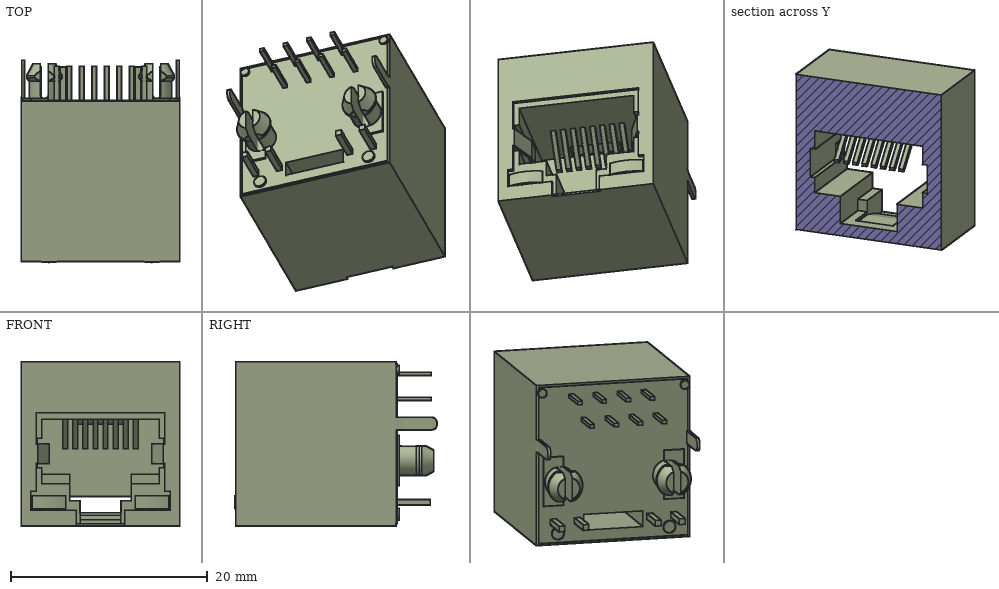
import cadquery as cq
import math


WIDTH = 16.15
SHELL_DEPTH = 16.3
HEIGHT = 16.7
SHEET = 0.22
INSERT_SETBACK = 0.34
BOTTOM_LIP_SETBACK = 0.31
INSERT_OVERHANG = 0.11

WINDOW_HALF_WIDTH = 6.52
WINDOW_TOP = 11.5
LAMP_WINDOW_HALF_WIDTH = 7.07
LAMP_WINDOW_TOP = 3.56
LAMP_WINDOW_BOTTOM = 1.61
NOTCH_HALF_WIDTH = 2.47

CAVITY_HALF_WIDTH = 5.95
CAVITY_TOP = 10.86
CAVITY_BACK = 11.0
LEDGE_TOP = 4.28
REAR_LEDGE_TOP = 5.25
REAR_LEDGE_FRONT = 8.5
CHANNEL_HALF_WIDTH = 3.11
CHEEK_TOP = 2.58
CHEEK_LENGTH = 3.75
LATCH_HALF_WIDTH = 2.07
REAR_OPENING_TOP = 3.0

CHANNEL_FLOOR = 1.36
RAMP_FRONT = 2.2
RAMP_LOW = 0.63
RAMP_HIGH = 1.08
RAMP_ANGLE = 12.8
LATCH_FLAT_LENGTH = 2.6

POCKET_HALF_WIDTH = 6.44
POCKET_BOTTOM = 5.9
POCKET_TOP = 8.91
SPRING_BOTTOM = 6.35
SPRING_TOP = 8.35
SPRING_ROOT_X = 6.38
SPRING_TAIL_X = 5.2
SPRING_LENGTH = 2.87
SPRING_TAIL_LENGTH = 1.6

CONTACT_COUNT = 8
CONTACT_PITCH = 1.02
CONTACT_WIDTH = 0.5
CONTACT_THICKNESS = 0.4
CONTACT_TIP_Z = 7.83
CONTACT_FRONT = 5.0
CONTACT_TILT = 42.0
COMB_GAPS = 5
COMB_BOTTOM = 10.36
COMB_TILT = 60.0

LAMP_X = 5.23
LAMP_WIDTH = 3.45
LAMP_BOTTOM = 1.74
LAMP_TOP = 3.07
LAMP_PROUD = 0.09
LAMP_EDGE_SETBACK = 0.2

PIN_COUNT = 8
PIN_PITCH = 1.27
PIN_WIDTH = 0.46
PIN_THICKNESS = 0.36
PIN_LENGTH = 3.57
UPPER_ROW_Z = 15.45
LOWER_ROW_Z = 12.93

LAMP_PIN_X = (3.8, 6.34)
LAMP_PIN_Z = 2.42
LAMP_PIN_SIZE = 0.6
LAMP_PIN_LENGTH = 3.48

TAB_Z = 10.41
TAB_WIDTH = 1.32
TAB_LENGTH = 4.16
TAB_THICKNESS = 0.3
TAB_JOG = 0.07
TAB_JOG_END = 0.63
TAB_TIP_RADIUS = 0.6

PEG_X = 5.71
PEG_Z = 6.63
PEG_RADIUS = 1.55
PEG_HEAD_RADIUS = 1.8
PEG_TIP_RADIUS = 1.15
PEG_FLAT_HALF = 1.51
PEG_NECK_Y = 2.03
PEG_BARREL_START = 2.36
PEG_BARREL_END = 2.6
PEG_LENGTH = 3.82
PEG_SLOT_WIDTH = 0.77
PEG_SLOT_FILLET = 0.25

PAD_HEIGHT = 0.31
PEG_PAD_X = (5.3, 7.4)
PEG_PAD_Z = (4.12, 9.2)
UPPER_PAD_X = 7.5
UPPER_PAD_Z = 15.9
UPPER_PAD_RADIUS = 0.45
LOWER_PAD_X = 5.87
LOWER_PAD_Z = 1.2
LOWER_PAD_RADIUS = 0.63

EMBED = 0.5
INSERT_BACK = SHELL_DEPTH + INSERT_OVERHANG


def block(x0, x1, y0, y1, z0, z1):
    """Box given by its limits on each axis."""
    return cq.Workplane("XY").box(x1 - x0, y1 - y0, z1 - z0, centered=False).translate((x0, y0, z0))


def centred_block(half_width, y0, y1, z0, z1):
    return block(-half_width, half_width, y0, y1, z0, z1)


def both_sides(feature):
    """The feature together with its mirror image across X = 0."""
    return feature.union(feature.mirror("YZ"))


def prism_along_x(points_yz, width, centre_x=0):
    profile = cq.Workplane("YZ").polyline(points_yz).close()
    return profile.extrude(width / 2, both=True).translate((centre_x, 0, 0))


def make_body():
    shell = centred_block(WIDTH / 2, 0, SHELL_DEPTH, 0, HEIGHT)
    insert = centred_block(WIDTH / 2 - SHEET, INSERT_SETBACK, INSERT_BACK, SHEET, HEIGHT - SHEET)
    return shell.union(insert)


def make_window():
    """Recess of the insert face behind the opening in the shell front."""
    main = centred_block(WINDOW_HALF_WIDTH, 0, INSERT_SETBACK, LAMP_WINDOW_BOTTOM, WINDOW_TOP)
    lamps = centred_block(LAMP_WINDOW_HALF_WIDTH, 0, INSERT_SETBACK, LAMP_WINDOW_BOTTOM, LAMP_WINDOW_TOP)
    notch = centred_block(NOTCH_HALF_WIDTH, 0, INSERT_SETBACK, SHEET, LAMP_WINDOW_BOTTOM)
    lip = centred_block(NOTCH_HALF_WIDTH, 0, BOTTOM_LIP_SETBACK, 0, SHEET)
    return main.union(lamps).union(notch).union(lip)


def make_cavity():
    cheek_back = INSERT_SETBACK + CHEEK_LENGTH
    upper = centred_block(CAVITY_HALF_WIDTH, 0, CAVITY_BACK, REAR_LEDGE_TOP, CAVITY_TOP)
    ledges = centred_block(CAVITY_HALF_WIDTH, 0, REAR_LEDGE_FRONT, LEDGE_TOP, REAR_LEDGE_TOP)
    pockets = centred_block(POCKET_HALF_WIDTH, 0, CAVITY_BACK, POCKET_BOTTOM, POCKET_TOP)
    channel = centred_block(CHANNEL_HALF_WIDTH, 0, CAVITY_BACK, CHEEK_TOP, REAR_LEDGE_TOP)
    rear_channel = centred_block(CHANNEL_HALF_WIDTH, cheek_back, CAVITY_BACK, CHANNEL_FLOOR, CHEEK_TOP)
    rear_opening = centred_block(
        CHANNEL_HALF_WIDTH, CAVITY_BACK, INSERT_BACK, CHANNEL_FLOOR, REAR_OPENING_TOP
    )
    cavity = upper.union(ledges).union(pockets).union(channel)
    return cavity.union(rear_channel).union(rear_opening)


def make_latch_slot():
    """Slot for the plug latch: open at the front, then a gentle ramp, a flat and a 45 degree step."""
    ramp_back = RAMP_FRONT + (RAMP_HIGH - RAMP_LOW) / math.tan(math.radians(RAMP_ANGLE))
    flat_back = ramp_back + LATCH_FLAT_LENGTH
    step_back = flat_back + CHANNEL_FLOOR - RAMP_HIGH
    outline = [
        (INSERT_SETBACK, SHEET),
        (RAMP_FRONT, SHEET),
        (RAMP_FRONT, RAMP_LOW),
        (ramp_back, RAMP_HIGH),
        (flat_back, RAMP_HIGH),
        (step_back, CHANNEL_FLOOR),
        (step_back, CHEEK_TOP),
        (INSERT_SETBACK, CHEEK_TOP),
    ]
    return prism_along_x(outline, 2 * LATCH_HALF_WIDTH)


def make_springs():
    """Sheet fingers that slant in from the sides of the opening, then run straight back."""
    outline = [
        (WINDOW_HALF_WIDTH + EMBED, 0),
        (SPRING_ROOT_X, 0),
        (SPRING_TAIL_X, SPRING_LENGTH),
        (SPRING_TAIL_X, SPRING_LENGTH + SPRING_TAIL_LENGTH),
        (SPRING_TAIL_X + SHEET, SPRING_LENGTH + SPRING_TAIL_LENGTH),
        (SPRING_TAIL_X + SHEET, SPRING_LENGTH),
        (WINDOW_HALF_WIDTH, SHEET),
        (WINDOW_HALF_WIDTH + EMBED, SHEET),
    ]
    finger = cq.Workplane("XY").polyline(outline).close().extrude(SPRING_TOP - SPRING_BOTTOM)
    return both_sides(finger.translate((0, 0, SPRING_BOTTOM)))


def make_contacts():
    """Contact wires that slope down and back from the cavity ceiling, with the comb behind them."""
    root_z = CAVITY_TOP + EMBED
    run = (root_z - CONTACT_TIP_Z) * math.tan(math.radians(CONTACT_TILT))
    thickness_y = CONTACT_THICKNESS / math.cos(math.radians(CONTACT_TILT))
    wire_outline = [
        (CONTACT_FRONT, root_z),
        (CONTACT_FRONT + run, CONTACT_TIP_Z),
        (CONTACT_FRONT + run + thickness_y, CONTACT_TIP_Z),
        (CONTACT_FRONT + thickness_y, root_z),
    ]
    comb_front = CONTACT_FRONT + run
    comb_run = (root_z - COMB_BOTTOM) * math.tan(math.radians(COMB_TILT))
    comb_outline = [
        (comb_front, root_z),
        (comb_front + comb_run, COMB_BOTTOM),
        (comb_front + comb_run, root_z),
    ]
    comb_width = COMB_GAPS * CONTACT_PITCH
    contacts = prism_along_x(comb_outline, comb_width)
    for index in range(CONTACT_COUNT):
        x = (index - (CONTACT_COUNT - 1) / 2) * CONTACT_PITCH
        contacts = contacts.union(prism_along_x(wire_outline, CONTACT_WIDTH, x))
    return contacts


def make_lamps():
    """Lamps with a crowned front face."""
    left = LAMP_X - LAMP_WIDTH / 2
    right = LAMP_X + LAMP_WIDTH / 2
    lamp = (
        cq.Workplane("XY")
        .moveTo(left, INSERT_SETBACK + EMBED)
        .lineTo(left, LAMP_EDGE_SETBACK)
        .threePointArc((LAMP_X, -LAMP_PROUD), (right, LAMP_EDGE_SETBACK))
        .lineTo(right, INSERT_SETBACK + EMBED)
        .close()
        .extrude(LAMP_TOP - LAMP_BOTTOM)
        .translate((0, 0, LAMP_BOTTOM))
    )
    return both_sides(lamp)


def make_pin(x, z, width, thickness, length):
    """Straight pin whose length is measured from the shell back."""
    return block(
        x - width / 2,
        x + width / 2,
        SHELL_DEPTH - EMBED,
        SHELL_DEPTH + length,
        z - thickness / 2,
        z + thickness / 2,
    )


def make_pins():
    pins = cq.Workplane("XY")
    for index in range(PIN_COUNT):
        x = (index - (PIN_COUNT - 1) / 2) * PIN_PITCH
        z = LOWER_ROW_Z if index % 2 == 0 else UPPER_ROW_Z
        pins = pins.add(make_pin(x, z, PIN_WIDTH, PIN_THICKNESS, PIN_LENGTH))
    for x in LAMP_PIN_X:
        pin = make_pin(x, LAMP_PIN_Z, LAMP_PIN_SIZE, LAMP_PIN_SIZE, LAMP_PIN_LENGTH)
        pins = pins.add(both_sides(pin))
    return pins.combine()


def make_tabs():
    """Ground tabs that leave the shell sides, step inward and end in rounded tips."""
    outer = WIDTH / 2
    jog_y = SHELL_DEPTH + TAB_JOG_END
    tip_y = SHELL_DEPTH + TAB_LENGTH
    outline = [
        (outer, SHELL_DEPTH - EMBED),
        (outer, SHELL_DEPTH),
        (outer - TAB_JOG, jog_y),
        (outer - TAB_JOG, tip_y),
        (outer - TAB_JOG - TAB_THICKNESS, tip_y),
        (outer - TAB_JOG - TAB_THICKNESS, SHELL_DEPTH - EMBED),
    ]
    tab = cq.Workplane("XY").polyline(outline).close().extrude(TAB_WIDTH)
    tab = tab.translate((0, 0, TAB_Z - TAB_WIDTH / 2))
    tab = tab.faces(">Y").edges("|X").fillet(TAB_TIP_RADIUS)
    return both_sides(tab)


def make_pegs():
    """Locating pegs with barbed heads, trimmed flat above and below and split by a slot."""
    outline = [
        (0, -EMBED),
        (PEG_RADIUS, -EMBED),
        (PEG_RADIUS, PEG_NECK_Y),
        (PEG_HEAD_RADIUS, PEG_BARREL_START),
        (PEG_HEAD_RADIUS, PEG_BARREL_END),
        (PEG_TIP_RADIUS, PEG_LENGTH),
        (0, PEG_LENGTH),
    ]
    peg = cq.Workplane("XY").polyline(outline).close().revolve(360, (0, 0, 0), (0, 1, 0))
    trim = centred_block(PEG_HEAD_RADIUS, -EMBED, PEG_LENGTH, -PEG_FLAT_HALF, PEG_FLAT_HALF)
    slot = centred_block(
        PEG_SLOT_WIDTH / 2, PAD_HEIGHT, PEG_LENGTH, -PEG_HEAD_RADIUS, PEG_HEAD_RADIUS
    )
    slot = slot.faces("<Y").edges("|Z").fillet(PEG_SLOT_FILLET)
    peg = peg.intersect(trim).cut(slot)
    return both_sides(peg.translate((PEG_X, SHELL_DEPTH, PEG_Z)))


def make_round_pad(x, z, radius):
    pad_back = SHELL_DEPTH + PAD_HEIGHT
    disc = cq.Workplane("XZ", origin=(x, pad_back, z)).circle(radius)
    return disc.extrude(PAD_HEIGHT + EMBED)


def make_pads():
    peg_pad = block(*PEG_PAD_X, SHELL_DEPTH - EMBED, SHELL_DEPTH + PAD_HEIGHT, *PEG_PAD_Z)
    upper_pad = make_round_pad(UPPER_PAD_X, UPPER_PAD_Z, UPPER_PAD_RADIUS)
    lower_pad = make_round_pad(LOWER_PAD_X, LOWER_PAD_Z, LOWER_PAD_RADIUS)
    return both_sides(peg_pad.union(upper_pad).union(lower_pad))


result = make_body().cut(make_window()).cut(make_cavity()).cut(make_latch_slot())
for feature in (
    make_springs(),
    make_contacts(),
    make_lamps(),
    make_pads(),
    make_pins(),
    make_tabs(),
    make_pegs(),
):
    result = result.union(feature)